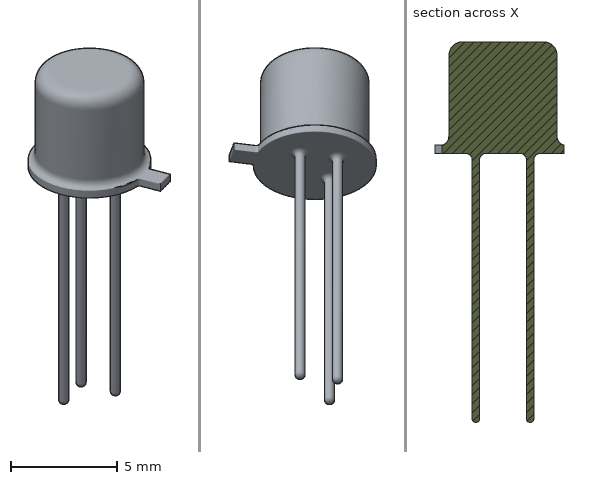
import cadquery as cq
import math

total_height = 18.0
can_height = 5.27

can_radius = 5.13 / 2
crown_radius = 0.67
flare_radius = 0.4

flange_radius = 2.9
plate_thickness = 0.41
rim_rounding = 0.027
tab_width = 1.05
tab_reach = 3.2
tab_angle = 45.0
tab_length = tab_reach * math.sqrt(2) - tab_width / 2
tab_root_radius = 0.13

lead_radius = 0.49 / 2
lead_circle_radius = 1.28
lead_angles = (90, 180, 270)
meniscus_radius = 0.27

lead_end = can_height - total_height
embed_height = plate_thickness / 2


def point_on_arc(center_x, center_z, radius, angle):
    """Point on an arc in the profile plane, at the given angle in degrees."""
    turn = math.radians(angle)
    return (center_x + radius * math.cos(turn), center_z + radius * math.sin(turn))


def revolve_profile(profile):
    """Turn a closed XZ profile around the Z axis."""
    return profile.close().revolve(360, (0, 0, 0), (0, 1, 0))


def make_can():
    """Can whose flare ends at the start of the plate's rim rounding."""
    flare_end = flange_radius - rim_rounding
    flare_center_x = can_radius + flare_radius
    flare_top = plate_thickness + math.sqrt(flare_radius**2 - (flare_center_x - flare_end) ** 2)
    crown_start = can_height - crown_radius
    top_radius = can_radius - crown_radius
    profile = (
        cq.Workplane("XZ")
        .moveTo(0, embed_height)
        .lineTo(flare_end, embed_height)
        .lineTo(flare_end, plate_thickness)
        .threePointArc(
            point_on_arc(flare_center_x, flare_top, flare_radius, 225),
            (can_radius, flare_top),
        )
        .lineTo(can_radius, crown_start)
        .threePointArc(
            point_on_arc(top_radius, crown_start, crown_radius, 45),
            (top_radius, can_height),
        )
        .lineTo(0, can_height)
    )
    return revolve_profile(profile)


def make_plate():
    """Flange disc with the blended index tab and rounded rims."""
    disc = cq.Workplane("XY").circle(flange_radius).extrude(plate_thickness)
    bar = cq.Workplane("XY").box(tab_length, tab_width, plate_thickness, centered=(False, True, False))
    root_x = math.sqrt(flange_radius**2 - (tab_width / 2) ** 2)
    root_edges = cq.selectors.BoxSelector(
        (root_x - tab_root_radius, -tab_width, 0),
        (root_x + tab_root_radius, tab_width, plate_thickness),
    )
    plate = disc.union(bar).edges("|Z").edges(root_edges).fillet(tab_root_radius)
    plate = plate.faces("<Z or >Z").edges().fillet(rim_rounding)
    return plate.rotate((0, 0, 0), (0, 0, 1), tab_angle)


def make_lead():
    """Lead on the Z axis with a hemispherical tip and a concave collar, sunk into the plate."""
    collar_radius = lead_radius + meniscus_radius
    tip_start = lead_end + lead_radius
    profile = (
        cq.Workplane("XZ")
        .moveTo(0, lead_end)
        .threePointArc(
            point_on_arc(0, tip_start, lead_radius, -45),
            (lead_radius, tip_start),
        )
        .lineTo(lead_radius, -meniscus_radius)
        .threePointArc(
            point_on_arc(collar_radius, -meniscus_radius, meniscus_radius, 135),
            (collar_radius, 0),
        )
        .lineTo(collar_radius, embed_height)
        .lineTo(0, embed_height)
    )
    return revolve_profile(profile)


result = make_plate().union(make_can())
for lead_angle in lead_angles:
    lead = make_lead().translate((lead_circle_radius, 0, 0))
    result = result.union(lead.rotate((0, 0, 0), (0, 0, 1), lead_angle))